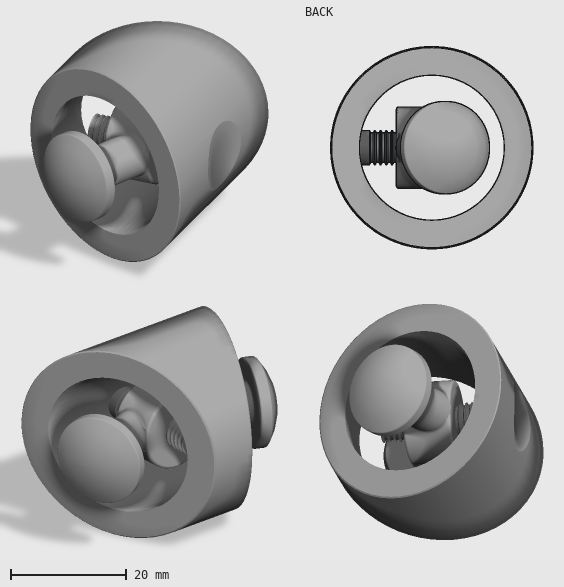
import cadquery as cq
import math

sleeve_radius = 17.5
bore_radius = 12.5
slant_angle = 22.5
sleeve_half_width = 11.48
end_chamfer = 0.2

saddle_radius = 23.8
saddle_depth = 1.05
saddle_bottom_x = sleeve_radius - saddle_depth

crest_radius = 3.0
root_radius = 2.6
pitch = 1.0
crest_flat = pitch / 8
flank_angle = 30
flank_width = (crest_radius - root_radius) * math.tan(math.radians(flank_angle))
thread_end_x = 10.8
thread_turns = 18

barrel_radius = 7.05
barrel_start_x = -2.4
barrel_end_x = 6.15
barrel_length = barrel_end_x - barrel_start_x
barrel_fillet = 0.5
arm_axis_x = 4.85
arm_radius = 3.85
arm_fillet = 0.45
arm_start = 5.67
head_radius = 8.0
head_distance = 17.6
rim_height = 2.0
dome_height = 2.85
rim_fillet = 0.3
neck_fillet = 0.35


def build_stud():
    """Revolved profile: crests one pitch apart, then the plain shank."""
    points = [(saddle_bottom_x, 0), (saddle_bottom_x, crest_radius)]
    for turn in range(thread_turns):
        crest_x = thread_end_x - turn * pitch
        next_crest_x = crest_x - pitch + crest_flat
        points += [
            (crest_x, crest_radius),
            (crest_x - flank_width, root_radius),
            (next_crest_x + flank_width, root_radius),
            (next_crest_x, crest_radius),
        ]
    stud_start_x = thread_end_x - thread_turns * pitch
    points += [(stud_start_x, crest_radius), (stud_start_x, 0)]
    return cq.Workplane("XY").polyline(points).close().revolve(360, (0, 0, 0), (1, 0, 0))


def build_sleeve(stud):
    """Slanted tube with chamfered outer rims, the saddle and the hole for the stud."""
    rise = sleeve_radius * math.tan(math.radians(slant_angle))
    short_half = sleeve_half_width - rise
    long_half = sleeve_half_width + rise
    wedge = (
        cq.Workplane("XY")
        .polyline([
            (-sleeve_radius, -short_half),
            (sleeve_radius, -long_half),
            (sleeve_radius, long_half),
            (-sleeve_radius, short_half),
        ])
        .close()
        .extrude(sleeve_radius, both=True)
    )
    tube = cq.Workplane("XZ").circle(sleeve_radius).extrude(long_half, both=True)
    body = tube.intersect(wedge)
    body = body.edges("%ELLIPSE").chamfer(end_chamfer)
    bore = cq.Workplane("XZ").circle(bore_radius).extrude(long_half, both=True)
    saddle = (
        cq.Workplane("XY")
        .center(saddle_bottom_x + saddle_radius, 0)
        .circle(saddle_radius)
        .extrude(sleeve_radius, both=True)
    )
    return body.cut(bore).cut(saddle).cut(stud)


def build_arm():
    """Upright arm with its domed head, rising along +Y from the barrel axis at the origin."""
    rim_top = head_distance + rim_height
    dome_radius = (head_radius**2 + dome_height**2) / (2 * dome_height)
    arm = (
        cq.Workplane("XY")
        .moveTo(0, arm_start)
        .lineTo(arm_radius, arm_start)
        .lineTo(arm_radius, head_distance - neck_fillet)
        .radiusArc((arm_radius + neck_fillet, head_distance), neck_fillet)
        .lineTo(head_radius, head_distance)
        .lineTo(head_radius, rim_top)
        .radiusArc((0, rim_top + dome_height), -dome_radius)
        .close()
        .revolve(360, (0, 0, 0), (0, 1, 0))
    )
    rim_face = arm.faces("%CYLINDER").faces(">Y")
    return rim_face.edges("%CIRCLE").fillet(rim_fillet)


def lean_arm(arm):
    """Tilt an upright arm toward -X and move it to the place where it leaves the barrel."""
    return arm.rotate((0, 0, 0), (0, 0, 1), slant_angle).translate((arm_axis_x, 0, 0))


def build_arm_blend():
    """Fillet around the foot of the arm, kept between the rounded ends of the barrel."""
    long_barrel = (
        cq.Workplane("YZ", origin=(barrel_start_x - barrel_length, 0, 0))
        .circle(barrel_radius)
        .extrude(3 * barrel_length)
    )
    shaft = lean_arm(cq.Workplane("XZ").circle(arm_radius).extrude(-head_distance / 2))
    blended = long_barrel.union(shaft).edges("%BSPLINE").fillet(arm_fillet)
    slab_side = 4 * barrel_radius
    slab = (
        cq.Workplane("YZ", origin=(barrel_start_x + barrel_fillet, 0, 0))
        .rect(slab_side, slab_side)
        .extrude(barrel_length - 2 * barrel_fillet)
    )
    return blended.intersect(slab)


def build_knob(stud):
    """Rounded barrel with an arm on each side, bored to fit the stud."""
    barrel = (
        cq.Workplane("YZ", origin=(barrel_start_x, 0, 0))
        .circle(barrel_radius)
        .extrude(barrel_length)
        .edges()
        .fillet(barrel_fillet)
    )
    arm = lean_arm(build_arm()).union(build_arm_blend())
    return barrel.union(arm).union(arm.mirror("XZ")).cut(stud)


stud = build_stud()
sleeve = build_sleeve(stud)
knob = build_knob(stud)

result = cq.Compound.makeCompound([sleeve.val(), stud.val(), knob.val()])